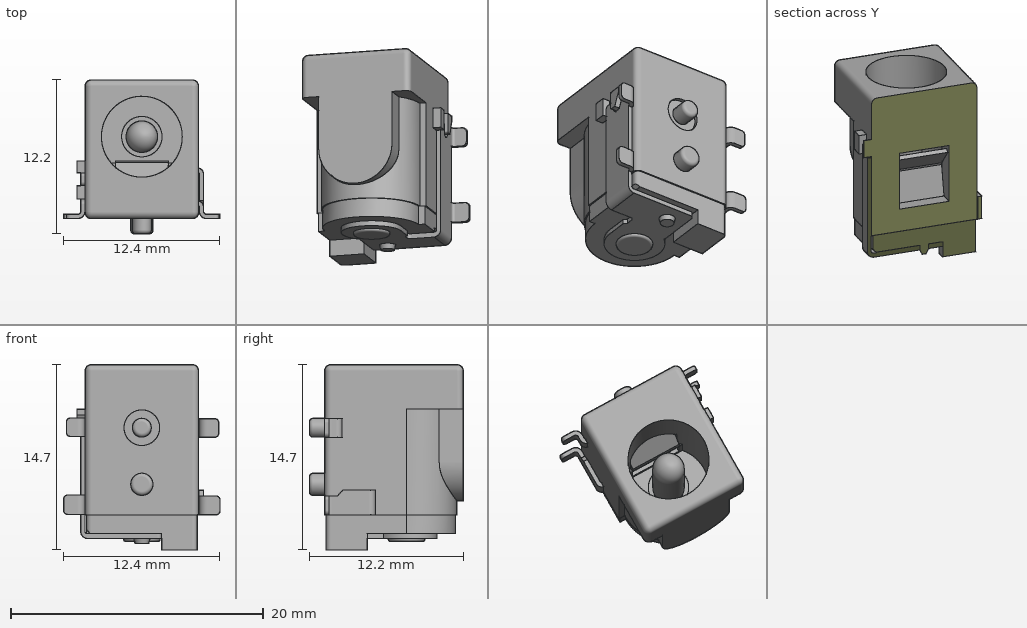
import cadquery as cq
import math


half_width = 4.5
back_y = 4.5
front_y = -6.5
top_z = 14.7
joint_z = 2.8
edge_radius = 0.5
shoulder_z = 11.17
barrel_radius = 3.98
rear_rib_radius = 3.03
rear_rib_center_z = 6.94

bore_radius = 3.2
bore_floor_z = 4.41
shelf_y = -2.1
shelf_top_z = 6.62

peg_tip_y = -7.7
peg_edge_radius = 0.3
upper_peg_radius = 0.75
upper_peg_z = 9.7
lower_peg_radius = 0.88
lower_peg_z = 5.22
peg_recess_radius = 1.41
peg_recess_depth = 0.3

post_outer_x = -5.15
post_bottom_z = 9.58
rear_post_back_y = -1.91
front_post_front_y = -4.94
front_post_taper_z = 10.72
front_post_tip_y = -4.44
front_post_corner = 0.13

base_inset = 0.1
base_bottom_z = 1.31
foot_block_left_x = 1.56
foot_block_back_y = -3.1
bend_clearance = 0.31
bend_clearance_back_y = -2.69
stake_y = -4.41
stake_radius = 0.65
stake_tip_radius = 0.55
stake_tip_z = 0.51

sheet = 0.35
inner_bend = 0.24
outer_bend = inner_bend + sheet
solder_corner = 0.34
wall_front_y = -5.87

plate_thickness = 0.4
plate_bottom_z = base_bottom_z - plate_thickness
ring_radius = 2.41
upright_back_y = -2.87
upright_top_z = 10.48
upright_corner = 0.28
plate_bend = 0.19
plate_corner = 0.32
neck_half_width = 2.18
neck_wide_end_y = -1.8
neck_fillet = 0.28
notch_back_y = -3.88
notch_bottom_z = 9.35
notch_radius = 0.35
notch_slope_low = (-4.57, notch_bottom_z)
notch_slope_high = (-5.2, upright_top_z)

contact_outer_x = 4.9
wall_bend = 0.5
spring_face_y = -2.47
spring_top_z = 4.76
spring_slope_back_y = -5.04
spring_slope_front_y = -5.47
tongue_half_width = 2.1
tongue_bulge = (-1.94, 7.28)
tongue_lead_in = (-2.03, 7.65)
tongue_tip = (-3.38, 9.11)
tongue_tip_back = (-3.65, 8.88)
tongue_lead_in_back = (-2.35, 7.45)
tongue_pocket_y = -3.9
tongue_pocket_top_z = 9.55
switch_face_y = -5.09
switch_inner_x = 2.94

pin_feet = [(-5.98, 9.0, upright_top_z), (-6.2, 2.82, 4.38)]
spring_foot = (6.2, joint_z, 4.3)
switch_foot = (6.1, 8.94, 10.42)

pin_radius = 1.25
pin_tip_z = 12.5
collar_radius = 1.6
rivet_radius = 1.45
rivet_bottom_z = 0.68
rivet_edge_radius = 0.19


def block(x_range, y_range, z_range):
    """Box between the given limits along each axis."""
    size = [high - low for low, high in (x_range, y_range, z_range)]
    corner = cq.Vector(x_range[0], y_range[0], z_range[0])
    return cq.Workplane(cq.Solid.makeBox(*size, corner))


def upright_cylinder(radius, low_z, high_z, y=0.0):
    """Cylinder along Z at x = 0."""
    return cq.Workplane("XY", origin=(0, y, low_z)).circle(radius).extrude(high_z - low_z)


def rounded_outline(plane, corners):
    """Closed outline on a workplane; each corner is (u, v) or (u, v, radius)."""
    outline = None
    count = len(corners)
    for index, corner in enumerate(corners):
        here = cq.Vector(corner[0], corner[1])
        radius = corner[2] if len(corner) > 2 else 0
        start = here
        if radius:
            before = cq.Vector(*corners[index - 1][:2])
            after = cq.Vector(*corners[(index + 1) % count][:2])
            to_before = (before - here).normalized()
            to_after = (after - here).normalized()
            half_angle = to_before.getAngle(to_after) / 2
            setback = radius / math.tan(half_angle)
            start = here + to_before * setback
            end = here + to_after * setback
            bisector = (to_before + to_after).normalized()
            middle = here + bisector * (radius / math.sin(half_angle) - radius)
        outline = plane.moveTo(start.x, start.y) if outline is None else outline.lineTo(start.x, start.y)
        if radius:
            outline = outline.threePointArc((middle.x, middle.y), (end.x, end.y))
    return outline.close()


def horizontal_outline(corners, low_z, high_z):
    """Solid with an (x, y) outline between two heights."""
    plane = cq.Workplane("XY", origin=(0, 0, low_z))
    return rounded_outline(plane, corners).extrude(high_z - low_z)


def side_outline(corners, low_x, high_x):
    """Solid with a (y, z) outline between two x positions."""
    plane = cq.Workplane("YZ", origin=(low_x, 0, 0))
    return rounded_outline(plane, corners).extrude(high_x - low_x)


def solder_foot(outer_x, foot):
    """Foot that leaves a wall strip and bends outward onto the board plane."""
    tip_x, low_z, high_z = foot
    inner_x = outer_x - math.copysign(sheet, outer_x)
    corners = [
        (inner_x, wall_front_y),
        (inner_x, front_y, outer_bend),
        (tip_x, front_y),
        (tip_x, front_y + sheet),
        (outer_x, front_y + sheet, inner_bend),
        (outer_x, wall_front_y),
    ]
    tip = "<X" if tip_x < 0 else ">X"
    return horizontal_outline(corners, low_z, high_z).faces(tip).edges("|Y").fillet(solder_corner)


def pin_terminal_plate():
    """Riveted ring, its neck and the bar that the upright rises from."""
    ring = upright_cylinder(ring_radius, plate_bottom_z, base_bottom_z)
    shoulder_y = neck_wide_end_y - (ring_radius - neck_half_width)
    corners = [
        (-ring_radius, 0),
        (-ring_radius, neck_wide_end_y),
        (-neck_half_width, shoulder_y),
        (-neck_half_width, upright_back_y, neck_fillet),
        (-half_width + plate_bend, upright_back_y),
        (-half_width + plate_bend, wall_front_y),
        (foot_block_left_x, wall_front_y, plate_corner),
        (foot_block_left_x, 0),
    ]
    plate = horizontal_outline(corners, plate_bottom_z, base_bottom_z)
    stake_hole = upright_cylinder(stake_radius, plate_bottom_z, base_bottom_z, stake_y)
    pin_hole = upright_cylinder(pin_radius, plate_bottom_z, base_bottom_z)
    return plate.union(ring).cut(stake_hole).cut(pin_hole)


def pin_terminal_upright():
    """Strip on the -X wall with a notch for the front post, bent under the base."""
    outer_x = -half_width - sheet
    bend_end_x = -half_width + plate_bend
    bent_corners = [
        (outer_x, upright_top_z),
        (outer_x, plate_bottom_z, plate_bend + plate_thickness),
        (bend_end_x + plate_bend, plate_bottom_z),
        (bend_end_x + plate_bend, base_bottom_z),
        (-half_width, base_bottom_z, plate_bend),
        (-half_width, upright_top_z),
    ]
    plane = cq.Workplane("XZ", origin=(0, upright_back_y, 0))
    strip = rounded_outline(plane, bent_corners).extrude(upright_back_y - wall_front_y)
    silhouette = [
        (upright_back_y, plate_bottom_z),
        (upright_back_y, upright_top_z, upright_corner),
        (notch_back_y, upright_top_z, upright_corner),
        (notch_back_y, notch_bottom_z, notch_radius),
        (*notch_slope_low, notch_radius),
        (*notch_slope_high, upright_corner),
        (wall_front_y, upright_top_z),
        (wall_front_y, plate_bottom_z),
    ]
    return strip.intersect(side_outline(silhouette, outer_x, 0))


def make_pin_terminal():
    terminal = pin_terminal_upright().union(pin_terminal_plate())
    for foot in pin_feet:
        terminal = terminal.union(solder_foot(-half_width - sheet, foot))
    return terminal


def wall_leaf(face_y, inner_x, low_z, high_z):
    """Leaf inside the housing that bends around onto the +X wall."""
    inner_face_x = contact_outer_x - sheet
    corners = [
        (inner_x, face_y),
        (contact_outer_x, face_y, wall_bend),
        (contact_outer_x, wall_front_y),
        (inner_face_x, wall_front_y),
        (inner_face_x, face_y - sheet, wall_bend - sheet),
        (inner_x, face_y - sheet),
    ]
    return horizontal_outline(corners, low_z, high_z)


def make_spring_contact():
    foot_top_z = spring_foot[2]
    leaf = wall_leaf(spring_face_y, -tongue_half_width, joint_z, spring_top_z)
    sloped_corner = [
        (spring_slope_back_y, spring_top_z),
        (spring_slope_front_y, foot_top_z),
        (wall_front_y, foot_top_z),
        (wall_front_y, spring_top_z),
    ]
    leaf = leaf.cut(side_outline(sloped_corner, half_width, contact_outer_x))
    tongue_profile = [
        (spring_face_y, spring_top_z),
        tongue_bulge,
        tongue_lead_in,
        tongue_tip,
        tongue_tip_back,
        tongue_lead_in_back,
        (tongue_bulge[0] - sheet, tongue_bulge[1]),
        (spring_face_y - sheet, spring_top_z),
    ]
    tongue = side_outline(tongue_profile, -tongue_half_width, tongue_half_width)
    return leaf.union(tongue).union(solder_foot(contact_outer_x, spring_foot))


def make_switch_contact():
    leaf = wall_leaf(switch_face_y, switch_inner_x, *switch_foot[1:])
    return leaf.union(solder_foot(contact_outer_x, switch_foot))


def make_center_pin():
    shaft = upright_cylinder(pin_radius, plate_bottom_z, pin_tip_z - pin_radius)
    dome = cq.Workplane("XY", origin=(0, 0, pin_tip_z - pin_radius)).sphere(pin_radius)
    collar = upright_cylinder(collar_radius, joint_z, bore_floor_z)
    rivet = upright_cylinder(rivet_radius, rivet_bottom_z, plate_bottom_z)
    rivet = rivet.faces("<Z").edges().fillet(rivet_edge_radius)
    return shaft.union(dome).union(collar).union(rivet)


def housing_body():
    """Front block with a full-depth head; behind it a round barrel with a rib."""
    body = block((-half_width, half_width), (front_y, back_y), (joint_z, top_z))
    body = body.edges("|Z or >Z").fillet(edge_radius)
    body = body.cut(block((-half_width, half_width), (0, back_y), (joint_z, shoulder_z)))
    barrel = upright_cylinder(barrel_radius, joint_z, shoulder_z)
    rib_round = (
        cq.Workplane("XZ").center(0, rear_rib_center_z).circle(rear_rib_radius).extrude(-back_y)
    )
    rib = block((-rear_rib_radius, rear_rib_radius), (0, back_y), (rear_rib_center_z, shoulder_z))
    return body.union(barrel).union(rib_round).union(rib)


def bore():
    """Plug bore that keeps a shelf below the spring tongue."""
    hole = upright_cylinder(bore_radius, bore_floor_z, top_z)
    shelf = block(
        (-bore_radius, bore_radius), (-bore_radius, shelf_y), (bore_floor_z, shelf_top_z)
    )
    return hole.cut(shelf)


def tongue_pocket():
    return block(
        (-tongue_half_width, tongue_half_width),
        (tongue_pocket_y, shelf_y),
        (spring_top_z, tongue_pocket_top_z),
    )


def front_disc(radius, z, from_y, to_y):
    """Cylinder along Y at x = 0."""
    return cq.Workplane("XZ", origin=(0, from_y, z)).circle(radius).extrude(from_y - to_y)


def locating_peg(radius, z, root_y):
    return front_disc(radius, z, root_y, peg_tip_y).faces("<Y").edges().fillet(peg_edge_radius)


def keeper_posts():
    rear_post = block(
        (post_outer_x, -half_width), (upright_back_y, rear_post_back_y), (post_bottom_z, shoulder_z)
    )
    front_post = [
        (notch_back_y, shoulder_z),
        (front_post_front_y, shoulder_z),
        (front_post_front_y, front_post_taper_z),
        (front_post_tip_y, post_bottom_z),
        (notch_back_y, post_bottom_z, front_post_corner),
    ]
    return rear_post.union(side_outline(front_post, post_outer_x, -half_width))


def make_housing(inserts):
    """Housing with a matching recess for each insert."""
    recess_floor_y = front_y + peg_recess_depth
    housing = housing_body().union(keeper_posts())
    housing = housing.cut(front_disc(peg_recess_radius, upper_peg_z, recess_floor_y, front_y))
    housing = housing.union(locating_peg(upper_peg_radius, upper_peg_z, recess_floor_y))
    housing = housing.union(locating_peg(lower_peg_radius, lower_peg_z, front_y))
    housing = housing.cut(bore()).cut(tongue_pocket())
    for insert in inserts:
        housing = housing.cut(insert)
    return housing


def make_base():
    side_x = half_width - base_inset
    base_front_y = front_y + base_inset
    corner_radius = edge_radius - base_inset
    slab = horizontal_outline(
        [
            (-side_x, 0),
            (-side_x, base_front_y, corner_radius),
            (side_x, base_front_y, corner_radius),
            (side_x, 0),
        ],
        base_bottom_z,
        joint_z,
    )
    clearance = (
        cq.Workplane("XZ", origin=(0, bend_clearance_back_y, 0))
        .moveTo(-side_x, base_bottom_z)
        .lineTo(-side_x + bend_clearance, base_bottom_z)
        .lineTo(-side_x, base_bottom_z + bend_clearance)
        .close()
        .extrude(bend_clearance_back_y - base_front_y)
    )
    foot_block = horizontal_outline(
        [
            (foot_block_left_x, foot_block_back_y),
            (foot_block_left_x, base_front_y),
            (side_x, base_front_y, corner_radius),
            (side_x, foot_block_back_y),
        ],
        0,
        base_bottom_z,
    )
    stake = (
        cq.Workplane("XY", origin=(0, stake_y, plate_bottom_z))
        .circle(stake_radius)
        .workplane(offset=stake_tip_z - plate_bottom_z)
        .circle(stake_tip_radius)
        .loft()
    )
    stake_root = upright_cylinder(stake_radius, plate_bottom_z, base_bottom_z, stake_y)
    round_back = upright_cylinder(barrel_radius - base_inset, base_bottom_z, joint_z)
    pin_hole = upright_cylinder(pin_radius, base_bottom_z, joint_z)
    base = slab.cut(clearance).union(round_back).union(foot_block)
    return base.union(stake_root).union(stake).cut(pin_hole)


pin_terminal = make_pin_terminal()
spring_contact = make_spring_contact()
switch_contact = make_switch_contact()
center_pin = make_center_pin()
housing = make_housing([spring_contact, switch_contact, center_pin])
base = make_base()

bodies = [housing, base, pin_terminal, spring_contact, switch_contact, center_pin]
result = cq.Compound.makeCompound([body.solids().val() for body in bodies])